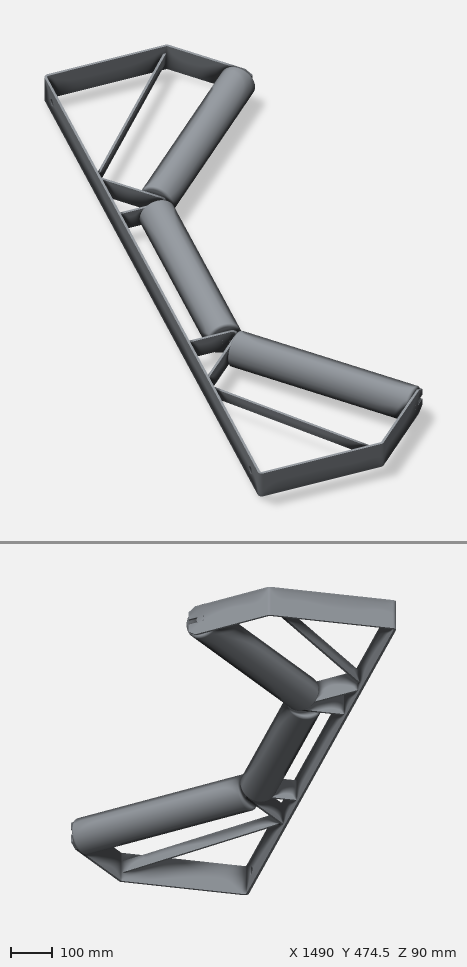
import cadquery as cq
import math

frame_length = 1490.0
strip_width = 75.0
bracket_width = 52.0
thickness = 6.0
frame_bend_radius = 10.0
fold_radius = 13.0
tip_chamfer_along = 20.0
tip_chamfer_across = 12.0
tip_overhang = 33.0
mount_hole_diameter = 20.0
mount_hole_x = 685.0

tilt = 45.0
roller_diameter = 90.0
roller_length = 470.0
roller_edge_radius = 6.0
shaft_diameter = 20.0
shaft_flat_width = 13.0
end_gap = 1.0
mid_roller_y = 100.0
side_roller_x = 438.0
side_roller_y = 279.0

brace_width = 30.0
brace_foot_x = 387.0
brace_top_y = 310.0

half_length = frame_length / 2
side_inner_x = half_length - thickness
support_offset = roller_length / 2 + end_gap
shaft_length = 2 * (support_offset + thickness)
slope = math.sin(math.radians(tilt))
side_sum = side_roller_x + side_roller_y

frame_arm_inner_sum = side_sum + support_offset / slope
frame_arm_outer_sum = frame_arm_inner_sum + thickness / slope
bracket_arm_near_sum = side_sum - support_offset / slope
bracket_arm_far_sum = bracket_arm_near_sum - thickness / slope

fold_x = support_offset + fold_radius
fold_y = bracket_arm_near_sum - fold_radius / slope - fold_x
cut_depth = end_gap + 2 * fold_radius
fold_mid_angle = math.radians((180 + tilt) / 2)


def prism(outline, width):
    """Extrude a closed XY outline to a width centred on Z = 0."""
    return outline.extrude(width).translate((0, 0, -width / 2))


def mirrored(body):
    return body.mirror("YZ")


def at_side_roller(body):
    """Move a body from the origin to the right side roller, its X axis along the roller."""
    return body.rotate((0, 0, 0), (0, 0, 1), tilt).translate((side_roller_x, side_roller_y, 0))


def roller():
    """Roller along X at the origin, its shaft ends flattened to fit the support slots."""
    drum = cq.Workplane("YZ").circle(roller_diameter / 2).extrude(roller_length)
    drum = drum.translate((-roller_length / 2, 0, 0))
    drum = drum.faces("<X or >X").edges().fillet(roller_edge_radius)
    shaft = cq.Workplane("YZ").circle(shaft_diameter / 2).extrude(shaft_length)
    shaft = shaft.translate((-shaft_length / 2, 0, 0))
    flats = cq.Workplane("XY").box(shaft_length, shaft_diameter, shaft_flat_width)
    return drum.union(shaft.intersect(flats))


def shaft_slot():
    """Cutter at the +X roller end for a shaft slot that opens towards +Y."""
    slot = cq.Workplane("XY").box(cut_depth, roller_diameter, shaft_flat_width, centered=(False, False, True))
    return slot.translate((roller_length / 2, -shaft_diameter / 2, 0))


def frame_tip_corners():
    """Cutter at the +X roller end that bevels both corners of a frame tip."""
    shoulder = tip_overhang - tip_chamfer_along
    half_width = strip_width / 2
    corners = cq.Workplane("YZ").workplane(offset=roller_length / 2)
    for side in (1, -1):
        corners = corners.polyline([
            (shoulder, side * half_width),
            (tip_overhang, side * half_width),
            (tip_overhang, side * (half_width - tip_chamfer_across)),
        ]).close()
    return corners.extrude(cut_depth)


def frame():
    """Bent strip: base, two sides and two arms that carry the outer ends of the side rollers."""
    tip_reach = tip_overhang * slope
    tip_outer_x = side_roller_x + (support_offset + thickness) * slope - tip_reach
    tip_inner_x = tip_outer_x - thickness * slope
    outline = cq.Workplane("XY").polyline([
        (0, 0),
        (half_length, 0),
        (half_length, frame_arm_outer_sum - half_length),
        (tip_outer_x, frame_arm_outer_sum - tip_outer_x),
        (tip_inner_x, frame_arm_inner_sum - tip_inner_x),
        (side_inner_x, frame_arm_inner_sum - side_inner_x),
        (side_inner_x, thickness),
        (0, thickness),
    ])
    half = prism(outline.close(), strip_width)
    side_inner_face = cq.selectors.BoxSelector(
        (side_inner_x - thickness / 2, 0, -strip_width),
        (side_inner_x + thickness / 2, frame_arm_inner_sum, strip_width),
    )
    half = half.edges("|Z").edges(side_inner_face).fillet(frame_bend_radius - thickness)
    half = half.edges("|Z and >X").fillet(frame_bend_radius)
    hole = cq.Workplane("XZ").center(mount_hole_x, 0).circle(mount_hole_diameter / 2).extrude(-thickness)
    half = half.cut(hole).cut(at_side_roller(shaft_slot())).cut(at_side_roller(frame_tip_corners()))
    return half.union(mirrored(half))


def fold_point(radius, angle):
    return (fold_x + radius * math.cos(angle), fold_y + radius * math.sin(angle))


def bracket():
    """Right bracket: a post for the middle roller, folded into an arm for the side roller."""
    inner_radius = fold_radius - thickness
    arm_angle = math.radians(tilt)
    outline = (
        cq.Workplane("XY")
        .moveTo(support_offset, thickness)
        .lineTo(support_offset, fold_y)
        .threePointArc(fold_point(fold_radius, fold_mid_angle), fold_point(fold_radius, arm_angle))
        .lineTo(bracket_arm_near_sum - thickness, thickness)
        .lineTo(bracket_arm_far_sum - thickness, thickness)
        .lineTo(*fold_point(inner_radius, arm_angle))
        .threePointArc(fold_point(inner_radius, fold_mid_angle), fold_point(inner_radius, math.pi))
        .lineTo(support_offset + thickness, thickness)
    )
    body = prism(outline.close(), bracket_width)
    body = body.cut(shaft_slot().translate((0, mid_roller_y, 0)))
    return body.cut(at_side_roller(mirrored(shaft_slot())))


def brace():
    """Right brace: flat bar from the base to the top of the frame side."""
    rise = brace_top_y - thickness
    run = side_inner_x - brace_foot_x
    length = math.hypot(rise, run)
    foot_span = thickness * length / rise
    end_span = thickness * length / run
    outline = cq.Workplane("XY").polyline([
        (brace_foot_x, thickness),
        (brace_foot_x + foot_span, thickness),
        (side_inner_x, brace_top_y - end_span),
        (side_inner_x, brace_top_y),
    ])
    return prism(outline.close(), brace_width)


mid_roller = roller().translate((0, mid_roller_y, 0))
right_roller = at_side_roller(roller())
right_bracket = bracket()
right_brace = brace()
bodies = [frame(), mid_roller]
for right_body in (right_roller, right_bracket, right_brace):
    bodies += [right_body, mirrored(right_body)]

result = cq.Compound.makeCompound([body.val() for body in bodies])